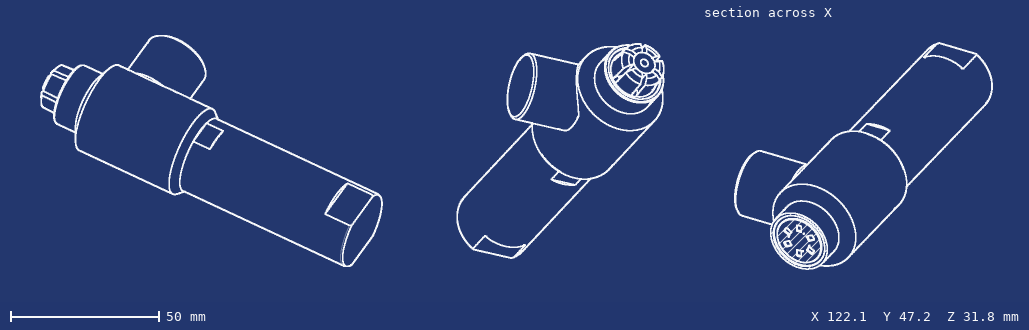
import cadquery as cq
import math

overall_length = 122.1

body_radius = 31.75 / 2
body_front_x = 19.3
body_front_cone_angle = 30
body_rear_x = 58.65
body_rear_chamfer_length = 2.8

collar_radius = 21.89 / 2
collar_front_x = 7.85
collar_chamfer_length = 0.4
collar_chamfer_depth = 0.25
recess_radius = 9.72
recess_floor_x = 8.7

shank_radius = 26.92 / 2
shank_end_chamfer_length = 0.76
shank_end_chamfer_depth = 0.25
neck_flat_length = 6.5
neck_flat_height = 12.7
end_flat_length = 10.16
end_flat_height = 11.175

port_radius = 22.86 / 2
port_x = 31.75
port_end_y = 31.365
port_length = 19.05
port_chamfer = 0.76

finger_count = 6
finger_radius = 7.88
finger_tip_radius = 5.8
finger_chamfer_length = 1.25
finger_root_radius = 8.5
finger_slot_width = 1.7
core_radius = 7.92 / 2
core_bore_radius = 7.95 / 2
core_dimple_radius = 2.77 / 2
core_dimple_angle = 118

bead_inner_radius = 6.1
bead_outer_radius = finger_root_radius


def revolve_about_x(points):
    """Solid of revolution from an (x, radius) outline."""
    return cq.Workplane("XY").polyline(points).close().revolve(360, (0, 0, 0), (1, 0, 0))


def x_cylinder(radius, x_start, x_end):
    """Cylinder on the main axis between two X positions."""
    return cq.Workplane("YZ", origin=(x_start, 0, 0)).circle(radius).extrude(x_end - x_start)


def make_housing():
    """Collar, coned body and shank as one turned shape."""
    front_cone_length = (body_radius - collar_radius) * math.tan(math.radians(body_front_cone_angle))
    housing = revolve_about_x([
        (collar_front_x, 0),
        (collar_front_x, collar_radius - collar_chamfer_depth),
        (collar_front_x + collar_chamfer_length, collar_radius),
        (body_front_x - front_cone_length, collar_radius),
        (body_front_x, body_radius),
        (body_rear_x - body_rear_chamfer_length, body_radius),
        (body_rear_x, shank_radius),
        (overall_length - shank_end_chamfer_length, shank_radius),
        (overall_length, shank_radius - shank_end_chamfer_depth),
        (overall_length, 0),
    ])
    return housing.cut(x_cylinder(recess_radius, collar_front_x, recess_floor_x))


def cut_flats(shape, x_start, length, height):
    """Cut a pair of flats at +Z and -Z, each at the given height from the axis."""
    depth = shank_radius - height
    for side in (1, -1):
        cutter = cq.Workplane("XY").box(length, 2 * shank_radius, depth)
        center = (x_start + length / 2, 0, side * (height + depth / 2))
        shape = shape.cut(cutter.translate(center))
    return shape


def make_port():
    """Side port; its inner end overhangs the round body above and below."""
    return (
        cq.Workplane("XZ", origin=(port_x, port_end_y, 0))
        .circle(port_radius)
        .extrude(port_length)
        .faces(">Y")
        .chamfer(port_chamfer)
    )


def make_fingers():
    """Ring of fingers, parted by radial slots and bored for the core.

    Behind the tip chamfer each finger flares along an arc that starts parallel to the axis.
    """
    flare_length = recess_floor_x - finger_chamfer_length
    flare_height = finger_root_radius - finger_radius
    flare_radius = (flare_length**2 + flare_height**2) / (2 * flare_height)
    flare_half_angle = math.asin(flare_length / flare_radius) / 2
    flare_middle = (
        finger_chamfer_length + flare_radius * math.sin(flare_half_angle),
        finger_radius + flare_radius * (1 - math.cos(flare_half_angle)),
    )
    fingers = (
        cq.Workplane("XY")
        .lineTo(0, finger_tip_radius)
        .lineTo(finger_chamfer_length, finger_radius)
        .threePointArc(flare_middle, (recess_floor_x, finger_root_radius))
        .lineTo(recess_floor_x, 0)
        .close()
        .revolve(360, (0, 0, 0), (1, 0, 0))
    )
    fingers = fingers.cut(x_cylinder(core_bore_radius, 0, recess_floor_x))
    slot = cq.Workplane("XY").box(
        recess_floor_x, finger_slot_width, finger_root_radius, centered=(False, True, False)
    )
    for index in range(finger_count):
        fingers = fingers.cut(slot.rotate((0, 0, 0), (1, 0, 0), index * 360 / finger_count))
    return fingers


def make_core():
    """Central core with a conical dimple in its face."""
    dimple_depth = core_dimple_radius / math.tan(math.radians(core_dimple_angle / 2))
    return revolve_about_x([
        (dimple_depth, 0),
        (0, core_dimple_radius),
        (0, core_radius),
        (recess_floor_x, core_radius),
        (recess_floor_x, 0),
    ])


def make_slot_bead():
    """Half-round bead on the recess floor, crossing the slot bottoms."""
    bead_height = (bead_outer_radius - bead_inner_radius) / 2
    return (
        cq.Workplane("XY")
        .moveTo(recess_floor_x, bead_inner_radius)
        .threePointArc(
            (recess_floor_x - bead_height, bead_inner_radius + bead_height),
            (recess_floor_x, bead_outer_radius),
        )
        .close()
        .revolve(360, (0, 0, 0), (1, 0, 0))
    )


housing = make_housing()
housing = cut_flats(housing, body_rear_x, neck_flat_length, neck_flat_height)
housing = cut_flats(housing, overall_length - end_flat_length, end_flat_length, end_flat_height)

result = housing.union(make_port()).union(make_fingers()).union(make_core()).union(make_slot_bead())